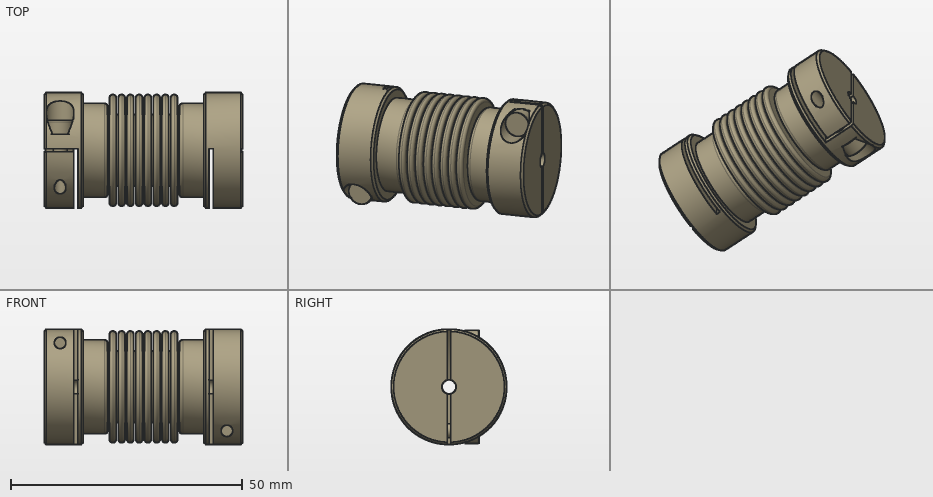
import cadquery as cq
import math

overall_length = 43.0

hub_diameter = 25.0
hub_length = 8.5
hub_chamfer = 0.5
neck_diameter = 20.4
neck_end = 13.75
neck_fillet = 0.75
bore_diameter = 3.0

crest_count = 8
crest_pitch = 1.9
crest_width = 1.5
crest_diameter = 24.15
root_diameter = 15.4

slit_width = 0.7
slit_cutter_radius = 26.88
slit_cutter_height = 5.8
cross_slot_start = 6.45
cross_slot_width = 0.85

screw_from_face = 3.5
screw_height = 9.5
screw_diameter = 3.0
screw_length = 8.0
thread_hole_diameter = 2.5
clearance_hole_diameter = 3.6
counterbore_diameter = 5.98
head_diameter = 5.5
head_length = 3.0
head_chamfer_length = 0.3
head_chamfer_depth = 0.1
head_seat_y = 3.5

hub_face_x = -overall_length / 2
hub_radius = hub_diameter / 2
cross_slot_end = cross_slot_start + cross_slot_width


def cylinder_along_y(diameter, y_start, y_end):
    """Cylinder on the clamping screw's axis."""
    start = cq.Vector(hub_face_x + screw_from_face, y_start, screw_height)
    return cq.Workplane(cq.Solid.makeCylinder(diameter / 2, y_end - y_start, start, cq.Vector(0, 1, 0)))


def box_between(low, high):
    """Axis-aligned box given by two opposite corners."""
    size = [b - a for a, b in zip(low, high)]
    return cq.Workplane("XY").box(*size, centered=False).translate(low)


def make_hub_body():
    """Clamping collar with its chamfers and the smaller neck towards the bellows."""
    collar = (
        cq.Workplane("YZ", origin=(hub_face_x, 0, 0))
        .circle(hub_radius)
        .extrude(hub_length)
        .faces("<X or >X")
        .chamfer(hub_chamfer)
    )
    neck = (
        cq.Workplane("YZ", origin=(hub_face_x, 0, 0))
        .circle(neck_diameter / 2)
        .extrude(neck_end)
        .faces(">X")
        .edges()
        .fillet(neck_fillet)
    )
    return collar.union(neck)


def make_clamp_cuts():
    """Slit sawn by a disc that just reaches the far side of the cross slot behind the jaw."""
    half_slit = slit_width / 2
    slit = (
        cq.Workplane("XZ", origin=(hub_face_x + cross_slot_end - slit_cutter_radius, half_slit, 0))
        .center(0, slit_cutter_height)
        .circle(slit_cutter_radius)
        .extrude(slit_width)
    )
    cross_slot = box_between(
        (hub_face_x + cross_slot_start, -hub_radius, -hub_radius),
        (hub_face_x + cross_slot_end, half_slit, hub_radius),
    )
    return slit.union(cross_slot)


def make_screw_holes():
    """Thread hole, clearance hole and counterbore; the counterbore breaks out of the rim."""
    thread_hole = cylinder_along_y(thread_hole_diameter, -hub_radius, 0)
    clearance_hole = cylinder_along_y(clearance_hole_diameter, 0, head_seat_y)
    counterbore = cylinder_along_y(counterbore_diameter, head_seat_y, hub_radius)
    return thread_hole.union(clearance_hole).union(counterbore)


def make_screw():
    """Cap screw whose head rests on the counterbore floor and whose tip sits in the thread hole."""
    shank = cylinder_along_y(screw_diameter, head_seat_y - screw_length, head_seat_y)
    head = (
        cylinder_along_y(head_diameter, head_seat_y, head_seat_y + head_length)
        .faces(">Y")
        .chamfer(head_chamfer_length, head_chamfer_depth)
    )
    return shank.union(head)


def make_hub():
    """Complete hub at the -X end, with its screw in place."""
    return make_hub_body().cut(make_clamp_cuts()).cut(make_screw_holes()).union(make_screw())


def make_bellows():
    """Bellows revolved about X, with a plain sleeve from its end roots up to each neck."""
    crest_arc = crest_width / 2
    root_arc = (crest_pitch - crest_width) / 2
    crest_radius = crest_diameter / 2
    root_radius = root_diameter / 2
    wall_bottom = root_radius + root_arc
    wall_top = crest_radius - crest_arc
    diagonal = math.sqrt(0.5)
    crest_middle = wall_top + crest_arc * diagonal
    root_middle = wall_bottom - root_arc * diagonal
    neck_gap_end = overall_length / 2 - neck_end
    first_root_x = -crest_count * crest_pitch / 2

    profile = (
        cq.Workplane("XY")
        .moveTo(-neck_gap_end, 0)
        .lineTo(-neck_gap_end, root_radius)
        .lineTo(first_root_x, root_radius)
    )
    for index in range(crest_count):
        root_x = first_root_x + index * crest_pitch
        crest_x = root_x + crest_pitch / 2
        next_root_x = root_x + crest_pitch
        rise_x = root_x + root_arc
        fall_x = next_root_x - root_arc
        profile = (
            profile
            .threePointArc((root_x + root_arc * diagonal, root_middle), (rise_x, wall_bottom))
            .lineTo(rise_x, wall_top)
            .threePointArc((crest_x - crest_arc * diagonal, crest_middle), (crest_x, crest_radius))
            .threePointArc((crest_x + crest_arc * diagonal, crest_middle), (fall_x, wall_top))
            .lineTo(fall_x, wall_bottom)
            .threePointArc((next_root_x - root_arc * diagonal, root_middle), (next_root_x, root_radius))
        )
    profile = profile.lineTo(neck_gap_end, root_radius).lineTo(neck_gap_end, 0).close()
    return profile.revolve(360, (0, 0, 0), (1, 0, 0))


left_hub = make_hub()
right_hub = left_hub.rotate((0, 0, 0), (0, 1, 0), 180)
bore = cq.Workplane("YZ", origin=(hub_face_x, 0, 0)).circle(bore_diameter / 2).extrude(overall_length)

result = left_hub.union(make_bellows()).union(right_hub).cut(bore)